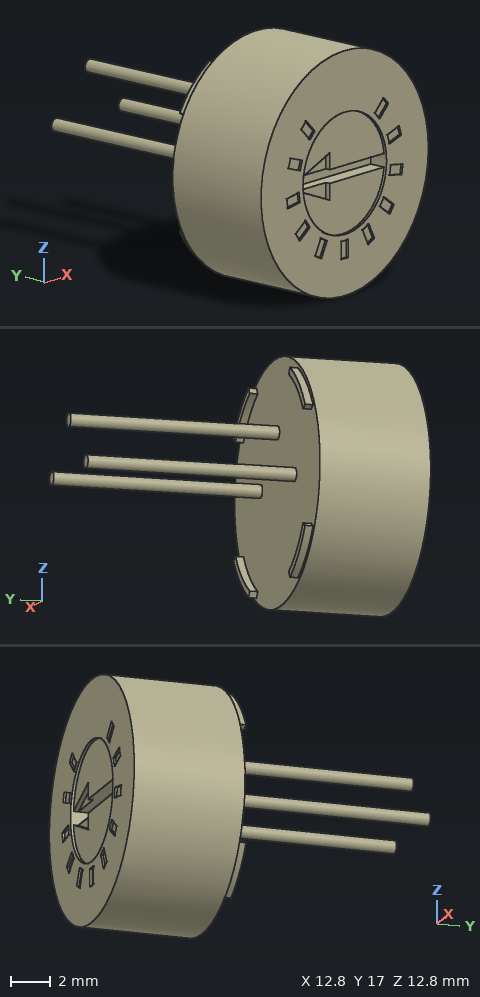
import cadquery as cq
import math


overall_length = 16.99
body_diameter = 12.75
body_depth = 5.9

rotor_radius = 3.18
rotor_recess = 0.15
slot_width = 0.71
slot_depth = 0.9
arrow_base_x = -0.97
arrow_half_height = 1.22
arrow_depth = 0.25

mark_count = 11
mark_first_angle = 45
mark_pitch = 27
mark_mid_radius = 3.96
mark_length = 0.93
mark_width = 0.53
mark_depth = 0.12

pad_outer_radius = 6.17
pad_inner_radius = 5.81
pad_height = 0.42
pad_start_angle = 30
pad_end_angle = 60

lead_diameter = 0.7
lead_spacing = 2.55
lead_positions = [(-lead_spacing, 0), (0, lead_spacing), (lead_spacing, 0)]


def plane_at(y):
    """XZ plane at depth y, with local axes X and Z; positive extrusion runs toward -Y."""
    return cq.Workplane("XZ", origin=(0, y, 0))


def polar(radius, angle):
    """Point at the given radius and angle in degrees."""
    return radius * math.cos(math.radians(angle)), radius * math.sin(math.radians(angle))


def make_body():
    return plane_at(0).circle(body_diameter / 2).extrude(-body_depth)


def make_rotor_cut():
    """Round recess, with the screwdriver slot and the arrow head sunk into its floor."""
    recess = plane_at(0).circle(rotor_radius).extrude(-rotor_recess)
    rotor_face = plane_at(rotor_recess)
    slot_limit = rotor_face.circle(rotor_radius).extrude(-slot_depth)
    slot = rotor_face.rect(2 * rotor_radius, slot_width).extrude(-slot_depth).intersect(slot_limit)

    half_slot = slot_width / 2
    tip_x = -math.sqrt(rotor_radius**2 - half_slot**2)
    arrow = (
        rotor_face.moveTo(tip_x, half_slot)
        .lineTo(arrow_base_x, arrow_half_height)
        .lineTo(arrow_base_x, -arrow_half_height)
        .lineTo(tip_x, -half_slot)
        .close()
        .extrude(-arrow_depth)
    )
    return recess.union(slot).union(arrow)


def make_mark(angle):
    """Cutter for one radial scale mark."""
    return (
        plane_at(0)
        .transformed(rotate=(0, 0, angle))
        .center(mark_mid_radius, 0)
        .rect(mark_length, mark_width)
        .extrude(-mark_depth)
    )


def make_pad(turn):
    """Curved standoff pad, turned about the housing axis by the given angle."""
    start = turn + pad_start_angle
    end = turn + pad_end_angle
    middle = (start + end) / 2
    return (
        plane_at(body_depth)
        .moveTo(*polar(pad_inner_radius, start))
        .lineTo(*polar(pad_outer_radius, start))
        .threePointArc(polar(pad_outer_radius, middle), polar(pad_outer_radius, end))
        .lineTo(*polar(pad_inner_radius, end))
        .threePointArc(polar(pad_inner_radius, middle), polar(pad_inner_radius, start))
        .close()
        .extrude(-pad_height)
    )


def make_leads():
    lead_length = overall_length - body_depth
    return plane_at(body_depth).pushPoints(lead_positions).circle(lead_diameter / 2).extrude(-lead_length)


result = make_body().cut(make_rotor_cut())

for mark_index in range(mark_count):
    result = result.cut(make_mark(mark_first_angle - mark_index * mark_pitch))

for quadrant in range(4):
    result = result.union(make_pad(90 * quadrant))

result = result.union(make_leads())